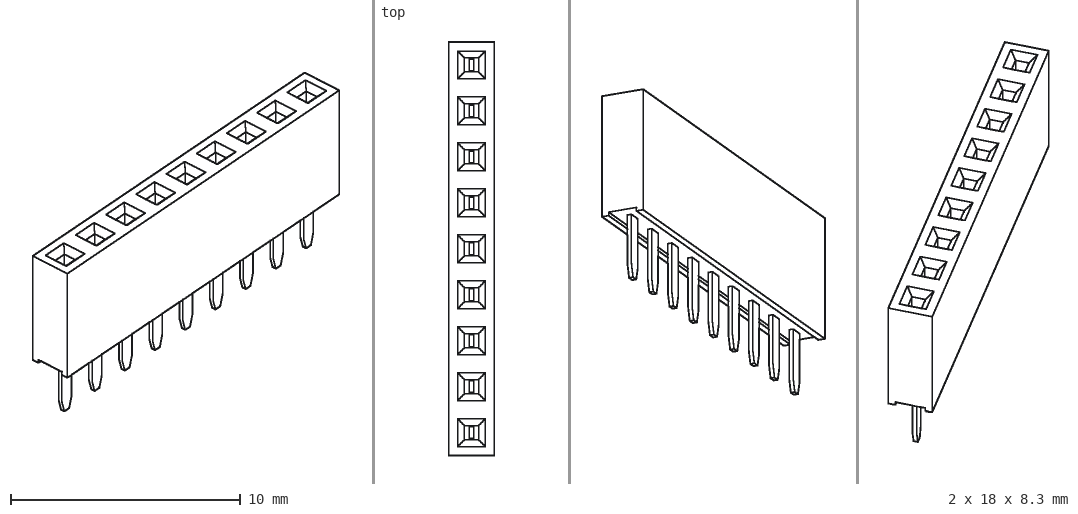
import cadquery as cq

housing_length = 18.0
housing_width = 2.0
housing_height = 5.6
contact_count = 9
pitch = housing_length / contact_count

foot_width = 0.32
foot_height = 0.16

mouth_side = 1.2
well_side = 0.61
lead_in_depth = (mouth_side - well_side) / 2
well_depth = 3.0

pin_thickness = 0.2
pin_width = 0.65
contact_width = 0.5
pin_tip_width = 0.32
pin_taper_height = 0.6
pin_length = 2.7
contact_height = 0.2

contact_positions = [(0, (i - (contact_count - 1) / 2) * pitch) for i in range(contact_count)]


def make_housing():
    """Rectangular bar standing on Z = 0 with the groove cut along its underside."""
    bar = cq.Workplane("XY").box(
        housing_width, housing_length, housing_height, centered=(True, True, False)
    )
    groove = cq.Workplane("XY").box(
        housing_width - 2 * foot_width, housing_length, foot_height, centered=(True, True, False)
    )
    return bar.cut(groove)


def make_sockets():
    """Cutting bodies for all sockets, entering from the top face."""
    lead_in = (
        cq.Workplane("XY")
        .rect(mouth_side, mouth_side)
        .workplane(offset=-lead_in_depth)
        .rect(well_side, well_side)
        .loft(ruled=True)
    )
    well = cq.Workplane("XY").rect(well_side, well_side).extrude(-well_depth)
    socket = lead_in.union(well).translate((0, 0, housing_height)).val()
    return cq.Workplane("XY").pushPoints(contact_positions).eachpoint(lambda spot: socket.moved(spot))


def make_pins():
    """Flat pins with tapered tips, each rising through a well floor as a narrower contact."""
    well_floor = housing_height - well_depth
    contact_top = well_floor + contact_height
    taper_start = pin_taper_height - pin_length
    pin = (
        cq.Workplane("YZ")
        .moveTo(0, -pin_length)
        .lineTo(pin_tip_width / 2, -pin_length)
        .lineTo(pin_width / 2, taper_start)
        .lineTo(pin_width / 2, well_floor)
        .lineTo(contact_width / 2, well_floor)
        .lineTo(contact_width / 2, contact_top)
        .lineTo(0, contact_top)
        .mirrorY()
        .extrude(pin_thickness / 2, both=True)
        .val()
    )
    return cq.Workplane("XY").pushPoints(contact_positions).eachpoint(lambda spot: pin.moved(spot))


result = make_housing().cut(make_sockets()).union(make_pins())